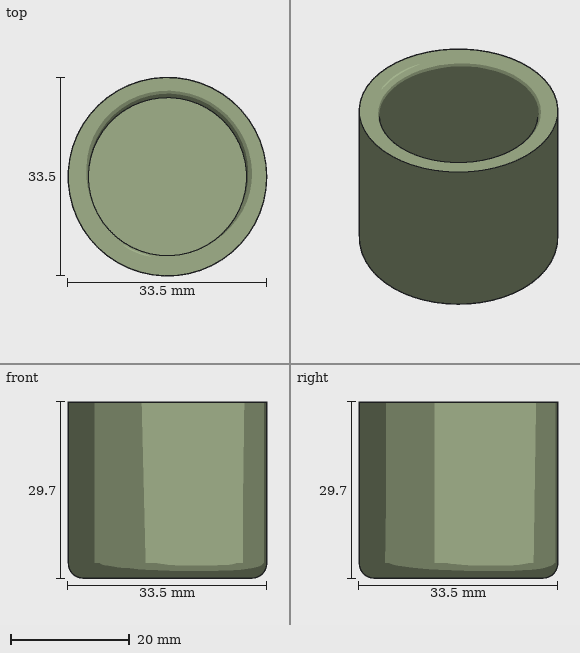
import cadquery as cq

outer_diameter = 33.53
height = 29.72
bore_diameter = 26.67
base_round = 2.54
mouth_round = 1.27

wall_thickness = (outer_diameter - bore_diameter) / 2
floor_thickness = wall_thickness
bore_depth = height - floor_thickness


def make_body():
    """Solid cylinder standing on Z = 0 with a rounded bottom edge."""
    cylinder = cq.Workplane("XY").circle(outer_diameter / 2).extrude(height)
    return cylinder.faces("<Z").edges().fillet(base_round)


def cut_bore(body):
    """Blind bore from the top face with a rounded mouth."""
    bored = body.faces(">Z").workplane().hole(bore_diameter, bore_depth)
    mouth_edge = bored.faces(">Z").edges(cq.selectors.RadiusNthSelector(0))
    return mouth_edge.fillet(mouth_round)


result = cut_bore(make_body())